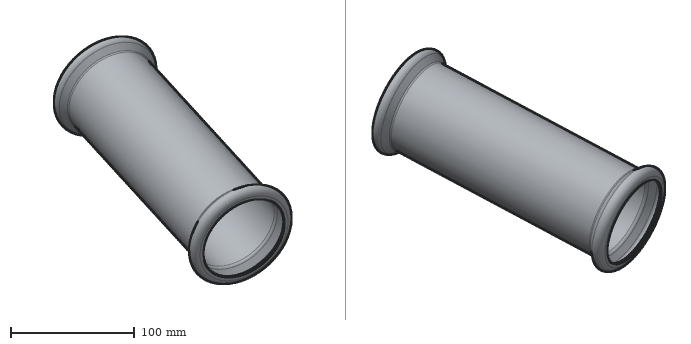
import cadquery as cq
import math

length = 230.0
body_diameter = 80.1
bead_diameter = 94.6
wall = 2.0
bead_section_radius = 6.0
neck_radius = 2.0
cone_angle = math.radians(45)

body_radius = body_diameter / 2
bore_radius = body_radius - wall
mouth_radius = bore_radius
bead_center_radius = bead_diameter / 2 - bead_section_radius
half_length = length / 2
bead_center_x = -half_length + bead_section_radius
lip_angle = math.pi
cone_normal_angle = math.pi / 2 - cone_angle

neck_center_radius = body_radius + neck_radius
neck_center_drop = bead_center_radius - neck_center_radius
neck_center_offset = (
    bead_section_radius + neck_radius + neck_center_drop * math.sin(cone_normal_angle)
) / math.cos(cone_normal_angle)
neck_center_x = bead_center_x + neck_center_offset


def polar(center_x, center_radius, distance, angle):
    """Profile point (x, radius) at a distance and angle from an arc centre."""
    return (center_x + distance * math.cos(angle), center_radius + distance * math.sin(angle))


def bead_point(inset, angle):
    """Point on the bead arc, inset into the wall from its outside."""
    return polar(bead_center_x, bead_center_radius, bead_section_radius - inset, angle)


def neck_point(inset, angle):
    """Point on the neck arc, inset into the wall from its outside."""
    return polar(neck_center_x, neck_center_radius, neck_radius + inset, angle)


def half_coupling():
    """Revolved wall from the lip on the -X end to the middle of the tube."""
    bead_middle = (lip_angle + cone_normal_angle) / 2
    neck_start = cone_normal_angle + math.pi
    neck_end = 3 * math.pi / 2
    neck_middle = (neck_start + neck_end) / 2
    profile = (
        cq.Workplane("XY")
        .moveTo(-half_length, mouth_radius)
        .lineTo(*bead_point(0, lip_angle))
        .threePointArc(bead_point(0, bead_middle), bead_point(0, cone_normal_angle))
        .lineTo(*neck_point(0, neck_start))
        .threePointArc(neck_point(0, neck_middle), neck_point(0, neck_end))
        .lineTo(0, body_radius)
        .lineTo(0, bore_radius)
        .lineTo(*neck_point(wall, neck_end))
        .threePointArc(neck_point(wall, neck_middle), neck_point(wall, neck_start))
        .lineTo(*bead_point(wall, cone_normal_angle))
        .threePointArc(bead_point(wall, bead_middle), bead_point(wall, lip_angle))
        .lineTo(-half_length + wall, mouth_radius)
        .close()
    )
    return profile.revolve(360, (0, 0, 0), (1, 0, 0))


left_half = half_coupling()
right_half = left_half.mirror("YZ")
result = left_half.union(right_half, clean=True)